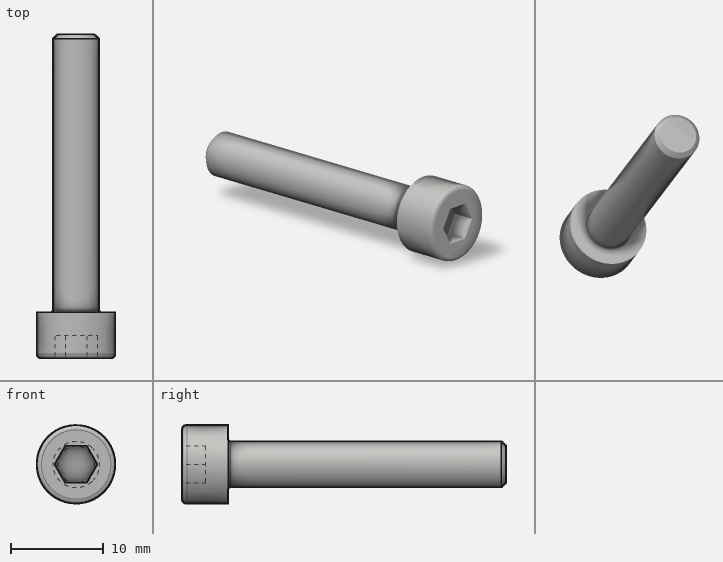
import cadquery as cq
import math

thread_diameter = 5.0
shank_length = 30.0
head_diameter = 8.5
head_height = thread_diameter
head_edge_radius = 0.5
neck_radius = 0.2
tip_chamfer = 0.5
hex_across_flats = 4.0
hex_depth = thread_diameter / 2

shank_radius = thread_diameter / 2
head_radius = head_diameter / 2
hex_across_corners = hex_across_flats / math.cos(math.pi / 6)


def make_body():
    """Revolve the half profile; Y = 0 is the bearing face under the head."""
    arc_offset = math.sqrt(0.5)
    edge_center_x = head_radius - head_edge_radius
    edge_center_y = -head_height + head_edge_radius
    neck_center_x = shank_radius + neck_radius
    neck_center_y = neck_radius
    edge_mid = (
        edge_center_x + head_edge_radius * arc_offset,
        edge_center_y - head_edge_radius * arc_offset,
    )
    neck_mid = (
        neck_center_x - neck_radius * arc_offset,
        neck_center_y - neck_radius * arc_offset,
    )
    return (
        cq.Workplane("XY")
        .moveTo(0, -head_height)
        .lineTo(edge_center_x, -head_height)
        .threePointArc(edge_mid, (head_radius, edge_center_y))
        .lineTo(head_radius, 0)
        .lineTo(neck_center_x, 0)
        .threePointArc(neck_mid, (shank_radius, neck_center_y))
        .lineTo(shank_radius, shank_length - tip_chamfer)
        .lineTo(shank_radius - tip_chamfer, shank_length)
        .lineTo(0, shank_length)
        .close()
        .revolve(360, (0, 0, 0), (0, 1, 0))
    )


def make_hex_socket():
    """Flat-bottomed hexagon with two corners on the X direction."""
    return (
        cq.Workplane("XZ", origin=(0, -head_height, 0))
        .polygon(6, hex_across_corners)
        .extrude(-hex_depth)
    )


result = make_body().cut(make_hex_socket())